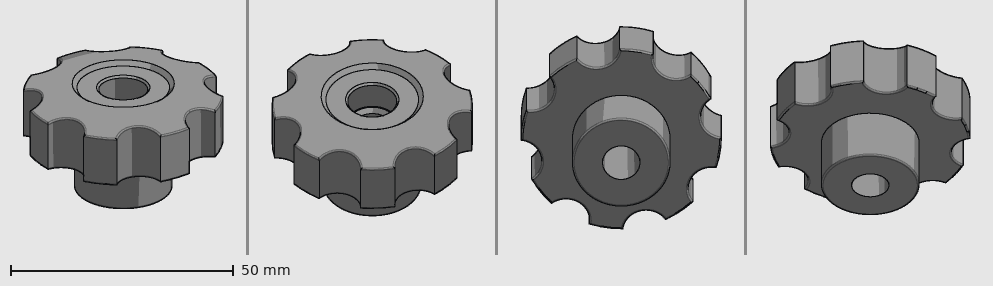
import cadquery as cq
import math

total_height = 26.15
hub_height = 12.0
rim_height = 23.8

grip_diameter = 45.0
grip_radius = grip_diameter / 2
scallop_count = 8
scallop_diameter = 10.55
scallop_floor_radius = 18.55
edge_round = 0.4

dome_sagitta = 0.2

hub_diameter = 22.0
hub_edge_round = 0.4

recess_mouth_diameter = 22.95
recess_floor_diameter = 20.8
recess_depth = 1.0

bore_diameter = 11.0
bore_chamfer = 0.5
bore_depth = 6.67
countersink_diameter = 10.4
countersink_angle = 90
through_diameter = 8.4


def make_grip():
    """Domed disc with scallops around its rim and rounded outer edges."""
    mouth_radius = recess_mouth_diameter / 2
    run = grip_radius - mouth_radius
    drop = total_height - rim_height
    chord = math.hypot(run, drop)
    dome_mid = (
        mouth_radius + run / 2 + dome_sagitta * drop / chord,
        total_height - drop / 2 + dome_sagitta * run / chord,
    )
    disc = (
        cq.Workplane("XZ")
        .moveTo(0, hub_height)
        .lineTo(grip_radius, hub_height)
        .lineTo(grip_radius, rim_height)
        .threePointArc(dome_mid, (mouth_radius, total_height))
        .lineTo(0, total_height)
        .close()
        .revolve(360, (0, 0), (0, 1))
    )
    scallops = (
        cq.Workplane("XY")
        .polarArray(scallop_floor_radius + scallop_diameter / 2, 0, 360, scallop_count)
        .circle(scallop_diameter / 2)
        .extrude(total_height)
    )
    grip = disc.cut(scallops)
    side_faces = grip.faces("%CYLINDER")
    return side_faces.edges("not |Z").fillet(edge_round)


def make_hub():
    """Cylindrical hub below the grip, rounded at its free end."""
    hub = cq.Workplane("XY").circle(hub_diameter / 2).extrude(hub_height)
    return hub.faces("<Z").edges().fillet(hub_edge_round)


def make_opening():
    """Material removed along the axis: recess, chamfered bore, countersink and through hole."""
    recess_floor = total_height - recess_depth
    bore_floor = recess_floor - bore_depth
    through_radius = through_diameter / 2
    countersink_radius = countersink_diameter / 2
    bore_radius = bore_diameter / 2
    half_angle = math.radians(countersink_angle / 2)
    countersink_depth = (countersink_radius - through_radius) / math.tan(half_angle)
    profile = [
        (0, 0),
        (through_radius, 0),
        (through_radius, bore_floor - countersink_depth),
        (countersink_radius, bore_floor),
        (bore_radius, bore_floor),
        (bore_radius, recess_floor - bore_chamfer),
        (bore_radius + bore_chamfer, recess_floor),
        (recess_floor_diameter / 2, recess_floor),
        (recess_mouth_diameter / 2, total_height),
        (0, total_height),
    ]
    return cq.Workplane("XZ").polyline(profile).close().revolve(360, (0, 0), (0, 1))


result = make_grip().union(make_hub()).cut(make_opening())